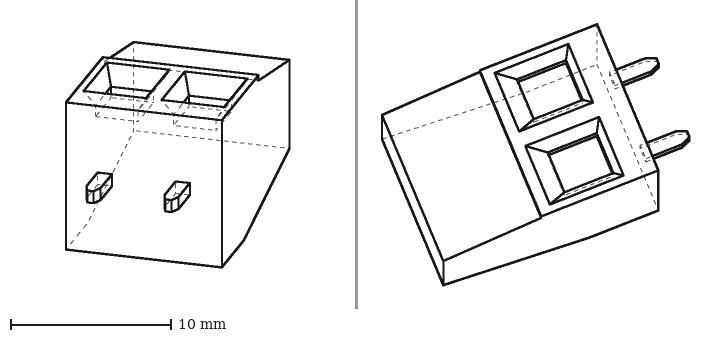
import cadquery as cq

pole_count = 2
pitch = 5.08
width = pole_count * pitch
height = 9.9
overall_length = 17.53
pin_length = 3.05
body_length = overall_length - pin_length

ledge_y = 7.89
ledge_step = 0.37
rear_top_drop = 1.53
rear_bottom_rise = 2.42
bottom_flat_length = 4.68

pocket_width = 4.07
pocket_front_y = 2.14
pocket_rear_y = 7.1
well_width = 2.77
well_front_y = 2.56
well_rear_y = 5.85
funnel_depth = 1.07
well_depth = 0.74

pin_width = 0.93
pin_thickness = 0.8
pin_bottom_z = 4.63
pin_straight_length = 2.42
pin_tip_width = 0.4


def make_body():
    profile = [
        (0, 0),
        (bottom_flat_length, 0),
        (body_length, rear_bottom_rise),
        (body_length, height - rear_top_drop),
        (ledge_y, height - ledge_step),
        (ledge_y, height),
        (0, height),
    ]
    return cq.Workplane("YZ").polyline(profile).close().extrude(width)


def make_pocket(center_x):
    mouth_length = pocket_rear_y - pocket_front_y
    mouth_y = (pocket_rear_y + pocket_front_y) / 2
    well_length = well_rear_y - well_front_y
    well_y = (well_rear_y + well_front_y) / 2
    funnel = (
        cq.Workplane("XY", origin=(center_x, mouth_y, height))
        .rect(pocket_width, mouth_length)
        .workplane(offset=-funnel_depth)
        .center(0, well_y - mouth_y)
        .rect(well_width, well_length)
        .loft(ruled=True)
    )
    well = (
        cq.Workplane("XY", origin=(center_x, well_y, height - funnel_depth))
        .rect(well_width, well_length)
        .extrude(-well_depth)
    )
    return funnel.union(well)


def make_pin(center_x):
    outline = [
        (-pin_width / 2, 0),
        (-pin_width / 2, -pin_straight_length),
        (-pin_tip_width / 2, -pin_length),
        (pin_tip_width / 2, -pin_length),
        (pin_width / 2, -pin_straight_length),
        (pin_width / 2, 0),
    ]
    return (
        cq.Workplane("XY", origin=(center_x, 0, pin_bottom_z))
        .polyline(outline)
        .close()
        .extrude(pin_thickness)
    )


result = make_body()
for pole in range(pole_count):
    pole_x = (pole + 0.5) * pitch
    result = result.cut(make_pocket(pole_x)).union(make_pin(pole_x))